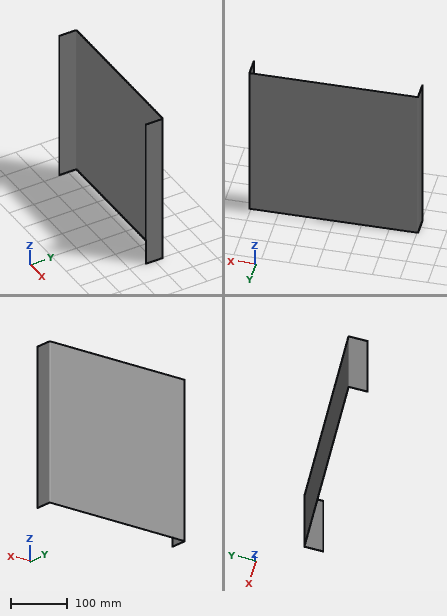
import cadquery as cq

width = 305.0
depth = 35.0
height = 304.0

sheet_thickness = 0.75
outer_bend_radius = 1.77
inner_bend_radius = outer_bend_radius - sheet_thickness

outer_body = (
    cq.Workplane("XY")
    .box(width, depth, height)
    .edges("|Z and >Y")
    .fillet(outer_bend_radius)
)

inner_space = (
    cq.Workplane("XY")
    .box(width - 2 * sheet_thickness, depth, height)
    .edges("|Z and >Y")
    .fillet(inner_bend_radius)
    .translate((0, -sheet_thickness, 0))
)

result = outer_body.cut(inner_space)